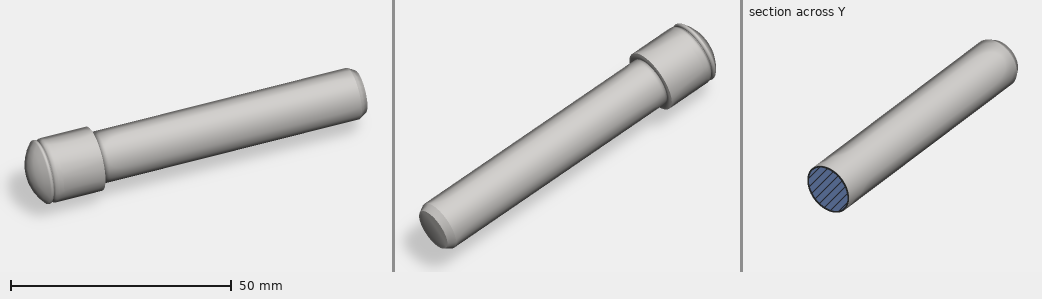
import cadquery as cq
import math

total_length = 80.3
head_radius = 7.505
shaft_radius = 6.0

head_back = 16.1
head_front = 6.2

tail_bevel_depth = 1.0
tail_bevel_angle = 30.0
neck_depth = 0.2
neck_length = 0.2

collar_edge_start = 5.1
collar_edge_drop = 0.6
cap_neck_radius = 6.9
cap_neck_length = 0.2
dome_radius = 10.5
rim_radius = 0.5

rim_center_radius = head_radius - rim_radius
center_distance = dome_radius - rim_radius
rim_center_y = dome_radius - math.sqrt(center_distance ** 2 - rim_center_radius ** 2)
cap_back = rim_center_y + rim_radius
collar_front = cap_back + cap_neck_length

crown_y = -total_length / 2


def turned(profile):
    """Revolve a half profile, drawn as (radius, y), about the Y axis."""
    solid = profile.close().revolve(360, (0, 0, 0), (0, 1, 0))
    return solid.translate((0, crown_y, 0))


def make_bolt():
    """Head and shaft in one piece, with a small neck groove and a bevelled tail."""
    bevel_length = tail_bevel_depth / math.tan(math.radians(tail_bevel_angle))
    neck_radius = shaft_radius - neck_depth
    return turned(
        cq.Workplane("XY")
        .moveTo(0, head_front)
        .lineTo(head_radius, head_front)
        .lineTo(head_radius, head_back)
        .lineTo(neck_radius, head_back)
        .lineTo(neck_radius, head_back + neck_length)
        .lineTo(shaft_radius, head_back + neck_length)
        .lineTo(shaft_radius, total_length - bevel_length)
        .lineTo(shaft_radius - tail_bevel_depth, total_length)
        .lineTo(0, total_length)
    )


def make_collar():
    """Disc between head and cap; its rounded edge meets the front face at a crease."""
    return turned(
        cq.Workplane("XY")
        .moveTo(0, head_front)
        .lineTo(head_radius, head_front)
        .lineTo(head_radius, collar_edge_start)
        .tangentArcPoint((head_radius - collar_edge_drop, collar_front), relative=False)
        .lineTo(0, collar_front)
    )


def make_cap():
    """Domed cap with a round rim and a short neck that rests on the collar."""
    tangent_angle = math.asin(rim_center_radius / center_distance)
    half_angle = tangent_angle / 2
    dome_middle = (
        dome_radius * math.sin(half_angle),
        dome_radius * (1 - math.cos(half_angle)),
    )
    dome_end = (
        dome_radius * math.sin(tangent_angle),
        dome_radius * (1 - math.cos(tangent_angle)),
    )
    return turned(
        cq.Workplane("XY")
        .moveTo(0, 0)
        .threePointArc(dome_middle, dome_end)
        .threePointArc((head_radius, rim_center_y), (rim_center_radius, cap_back))
        .lineTo(cap_neck_radius, cap_back)
        .lineTo(cap_neck_radius, collar_front)
        .lineTo(0, collar_front)
    )


bolt = make_bolt()
collar = make_collar()
cap = make_cap()

result = cq.Compound.makeCompound([bolt.val(), collar.val(), cap.val()])